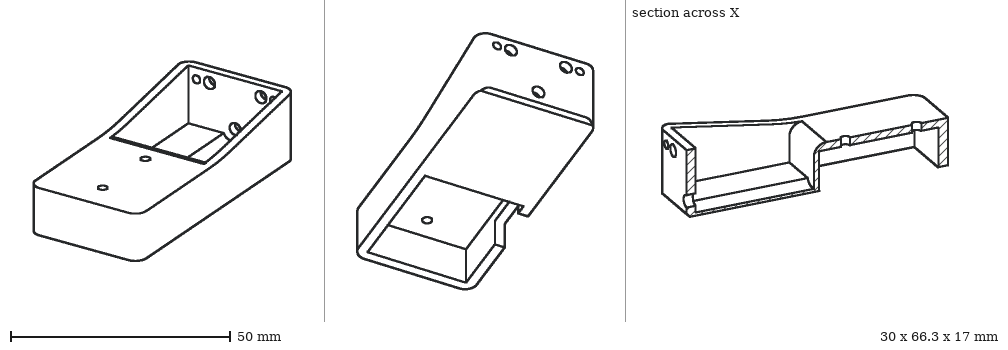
import cadquery as cq
import math

WIDTH = 30.0
LENGTH = 66.3
HEIGHT = 17.0
DECK_HEIGHT = 12.0
CORNER_RADIUS = 3.0
BACK_CHAMFER = 0.9

SIDE_WALL = 2.3
BACK_WALL = 2.3
POCKET_FRONT = 34.1
POCKET_FLOOR = 2.3
LIP_RADIUS = 3.2

DECK_END = 29.45
BLEND_END = 38.65

CHANNEL_WIDTH = 6.15
CHANNEL_FLAT = 2.2
CHANNEL_DEPTH = 1.4

CAVITY_WALL = 2.5
CAVITY_BACK = 32.6
CAVITY_HEIGHT = 9.95

NOTCH_FRONT = 17.65
NOTCH_LENGTH = 12.2
NOTCH_HEIGHT = 6.95
NOTCH_RADIUS = 0.5

DECK_HOLE_DIAMETER = 2.25
DECK_HOLE_PLACES = (7.95, 26.0)
PIN_HOLE_DIAMETER = 2.0
PIN_HOLE_OFFSET = 10.5
WIRE_HOLE_DIAMETER = 3.0
WIRE_HOLE_OFFSET = 6.95
UPPER_HOLE_HEIGHT = HEIGHT - 3.0
LOWER_HOLE_HEIGHT = 4.1


def box(x_range, y_range, z_range):
    """Axis-aligned box between pairs of limits."""
    size = [high - low for low, high in (x_range, y_range, z_range)]
    corner = (x_range[0], y_range[0], z_range[0])
    return cq.Workplane("XY").box(*size, centered=False).translate(corner)


def outer_body():
    """Side profile with the sloping top, trimmed to a rounded rectangle in plan."""
    slope_end = LENGTH - BACK_WALL
    slope_start = (DECK_END + BLEND_END) / 2
    slope = math.atan2(HEIGHT - DECK_HEIGHT, slope_end - slope_start)
    blend_radius = (slope_start - DECK_END) / math.tan(slope / 2)

    def blend_point(angle):
        y = DECK_END + blend_radius * math.sin(angle)
        z = DECK_HEIGHT + blend_radius * (1 - math.cos(angle))
        return (y, z)

    profile = (
        cq.Workplane("YZ", origin=(-WIDTH / 2, 0, 0))
        .lineTo(0, DECK_HEIGHT)
        .lineTo(DECK_END, DECK_HEIGHT)
        .threePointArc(blend_point(slope / 2), blend_point(slope))
        .lineTo(slope_end, HEIGHT)
        .lineTo(LENGTH, HEIGHT)
        .lineTo(LENGTH, BACK_CHAMFER)
        .lineTo(LENGTH - BACK_CHAMFER, 0)
        .close()
        .extrude(WIDTH)
    )
    plan = box((-WIDTH / 2, WIDTH / 2), (0, LENGTH), (0, HEIGHT)).edges("|Z").fillet(CORNER_RADIUS)
    return profile.intersect(plan)


def pocket():
    """Pocket cut whose front wall rolls over into the deck as a convex round."""
    half_width = WIDTH / 2 - SIDE_WALL
    lip_end = POCKET_FRONT - LIP_RADIUS
    lip_centre = DECK_HEIGHT - LIP_RADIUS
    lip_mid = (
        lip_end + LIP_RADIUS * math.cos(math.pi / 4),
        lip_centre + LIP_RADIUS * math.sin(math.pi / 4),
    )
    return (
        cq.Workplane("YZ", origin=(-half_width, 0, 0))
        .moveTo(LENGTH - BACK_WALL, POCKET_FLOOR)
        .lineTo(POCKET_FRONT, POCKET_FLOOR)
        .lineTo(POCKET_FRONT, lip_centre)
        .threePointArc(lip_mid, (lip_end, DECK_HEIGHT))
        .lineTo(lip_end, HEIGHT)
        .lineTo(LENGTH - BACK_WALL, HEIGHT)
        .close()
        .extrude(2 * half_width)
    )


def channel():
    """Floor channel with a flat bottom and concave sides tangent to it."""
    half_top = CHANNEL_WIDTH / 2
    half_flat = CHANNEL_FLAT / 2
    bottom = POCKET_FLOOR - CHANNEL_DEPTH
    return (
        cq.Workplane("XZ", origin=(0, LENGTH - BACK_WALL, 0))
        .moveTo(-half_flat, bottom)
        .lineTo(half_flat, bottom)
        .tangentArcPoint((half_top, POCKET_FLOOR), relative=False)
        .lineTo(-half_top, POCKET_FLOOR)
        .threePointArc(channel_side_middle(), (-half_flat, bottom))
        .close()
        .extrude(LENGTH - BACK_WALL - POCKET_FRONT)
    )


def channel_side_middle():
    """Middle point of the channel's left concave side."""
    run = (CHANNEL_WIDTH - CHANNEL_FLAT) / 2
    radius = (run**2 + CHANNEL_DEPTH**2) / (2 * CHANNEL_DEPTH)
    half_sweep = math.asin(run / radius) / 2
    x = -CHANNEL_FLAT / 2 - radius * math.sin(half_sweep)
    z = POCKET_FLOOR - CHANNEL_DEPTH + radius * (1 - math.cos(half_sweep))
    return (x, z)


def lower_cavity():
    half_width = WIDTH / 2 - CAVITY_WALL
    return box((-half_width, half_width), (CAVITY_WALL, CAVITY_BACK), (0, CAVITY_HEIGHT))


def notch():
    """Opening through the left wall, with rounded upper corners."""
    opening = box(
        (-WIDTH / 2, -WIDTH / 2 + CAVITY_WALL),
        (NOTCH_FRONT, NOTCH_FRONT + NOTCH_LENGTH),
        (0, NOTCH_HEIGHT),
    )
    return opening.edges("|X and >Z").fillet(NOTCH_RADIUS)


def deck_holes():
    places = [(0, y) for y in DECK_HOLE_PLACES]
    return cq.Workplane("XY").pushPoints(places).circle(DECK_HOLE_DIAMETER / 2).extrude(DECK_HEIGHT)


def back_holes(diameter, places):
    """Holes through the back wall at the given X and Z places."""
    back = cq.Workplane("XZ", origin=(0, LENGTH, 0))
    return back.pushPoints(places).circle(diameter / 2).extrude(BACK_WALL)


pin_places = [(side * PIN_HOLE_OFFSET, UPPER_HOLE_HEIGHT) for side in (-1, 1)]
wire_places = [(side * WIRE_HOLE_OFFSET, UPPER_HOLE_HEIGHT) for side in (-1, 1)]
wire_places.append((0, LOWER_HOLE_HEIGHT))

result = (
    outer_body()
    .cut(pocket())
    .cut(channel())
    .cut(lower_cavity())
    .cut(notch())
    .cut(deck_holes())
    .cut(back_holes(PIN_HOLE_DIAMETER, pin_places))
    .cut(back_holes(WIRE_HOLE_DIAMETER, wire_places))
)